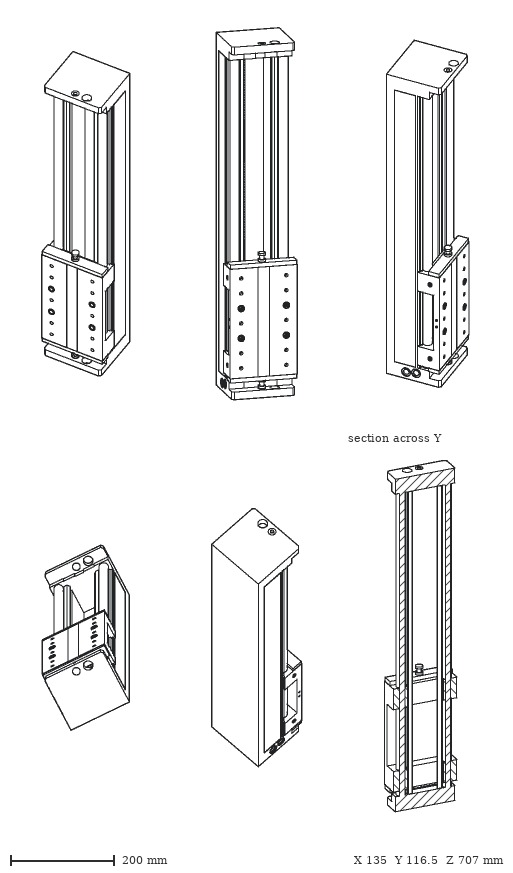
import cadquery as cq


total_height = 707.0
stop_projection = 1.5
upper_stop_projection = 2.0
base_bottom = stop_projection
body_width = 126.5
half_body = body_width / 2
cap_height = 32.5
cap_reach = 92.0
flange_thickness = 15.5
flange_reach = 115.0
flange_chamfer = 4.0
back_thickness = 17.0
lower_rail_bottom = base_bottom + cap_height
upper_rail_top = total_height - cap_height

relief_depth = 1.0
cap_relief_width = 66.5
stop_relief_width = 19.0
stop_relief_depth = 2.0

channel_half = 27.0
rail_chamfer = 4.0
rail_land_outer = 37.5
rail_land_reach = 81.0
rod_seat_reach = 73.5
shoulder_reach = 71.0
shoulder_half = 59.5
seat_outer_half = 56.0
groove_reach = 68.0
groove_width = 7.0
groove_depth = 8.0
panel_reach = 62.0
panel_depth = 1.0
step_reach = 66.5

rod_diameter = 18.5
rod_x = 49.0
rod_reach = 81.0

ports = [(42.0, 15.0), (63.0, 18.5)]
port_diameter = 11.0
port_seat_diameter = 18.5
port_seat_depth = 2.0
port_depth = 28.0

stop_diameter = 15.0
stop_socket_diameter = 6.65
stop_socket_depth = 7.0
stop_reach = 102.0
side_hole_diameter = 18.5
side_hole_x = 25.5
bumper_neck_diameter = 8.5
bumper_disc_height = 4.0
bumper_neck_height = 8.5

carriage_width = 135.0
half_carriage = carriage_width / 2
carriage_length = 219.0
carriage_front = flange_reach
skirt_reach = 68.5
leg_length = 44.5
web_back = 102.5
end_plate_thickness = 8.5
end_plate_back = cap_reach
end_plate_inset = 1.0
bumper_length = 2 * bumper_disc_height + bumper_neck_height
lower_stop_top = base_bottom + flange_thickness + stop_projection
carriage_bottom = lower_stop_top + bumper_length + end_plate_thickness
carriage_middle = carriage_bottom + carriage_length / 2
carriage_end = carriage_length / 2 + end_plate_thickness
running_gap = 1.0
strip_width = 23.0
strip_depth = 0.35

outer_row = 3
hole_row_length = 179.5
hole_pitch = hole_row_length / (2 * outer_row)
hole_x = 45.0
thread_diameter = 6.5
thread_depth = 8.5
sleeve_rows = (-1, 1)
sleeve_diameter = 13.0
sleeve_bore = 8.0
sleeve_length = 6.5
sleeve_projection = 1.5
leg_hole_diameter = 8.5
leg_hole_bore = 4.0
leg_hole_seat_depth = 2.0
leg_hole_depth = 7.0
leg_hole_reach = 95.0
web_hole_diameter = 4.0
web_hole_depth = 5.0
web_hole_reach = 109.0
web_hole_offset = 8.0


def block(x_size, back, front, bottom, top):
    """Box centred on x = 0 between two reaches and two heights."""
    return cq.Workplane("XY").box(x_size, front - back, top - bottom).translate(
        (0, -(back + front) / 2, (bottom + top) / 2)
    )


def upright(diameter, x, reach, bottom, top):
    """Cylinder along Z."""
    return (
        cq.Workplane("XY", origin=(x, -reach, bottom)).circle(diameter / 2).extrude(top - bottom)
    )


def frontal(diameter, x, z, back, front):
    """Cylinder along Y between two reaches."""
    return (
        cq.Workplane("XZ", origin=(x, -back, z)).circle(diameter / 2).extrude(front - back)
    )


def sideways(diameter, x_start, length, reach, z):
    """Cylinder along +X from x_start."""
    return (
        cq.Workplane("YZ", origin=(x_start, -reach, z)).circle(diameter / 2).extrude(length)
    )


def cap(bottom, top, flange_bottom, flange_top):
    """End cap with a flange over its front, holes for the stop and the plain hole beside it."""
    flange = block(body_width, back_thickness, flange_reach, flange_bottom, flange_top)
    flange = flange.faces("<Y").edges("|Z").chamfer(flange_chamfer)
    body = block(body_width, 0, cap_reach, bottom, top)
    open_bottom, open_top = (bottom, flange_bottom) if flange_top == top else (flange_top, top)
    body = body.cut(
        block(cap_relief_width, cap_reach - relief_depth, cap_reach, open_bottom, open_top)
    ).union(flange)
    body = body.cut(upright(stop_diameter, 0, stop_reach, flange_bottom, flange_top))
    return body.cut(
        upright(side_hole_diameter, side_hole_x, stop_reach, flange_bottom, flange_top)
    )


def rail_section(side):
    """Side rail outline for side = -1 (left) or 1 (right), from the channel outward."""
    inset_half = half_body - panel_depth
    points = [
        (channel_half, back_thickness),
        (channel_half, groove_reach),
        (channel_half + groove_depth, groove_reach),
        (channel_half + groove_depth, groove_reach + groove_width),
        (channel_half, groove_reach + groove_width),
        (channel_half, rail_land_reach - rail_chamfer),
        (channel_half + rail_chamfer, rail_land_reach),
        (rail_land_outer, rail_land_reach),
        (rail_land_outer, rod_seat_reach),
        (seat_outer_half, rod_seat_reach),
        (shoulder_half, shoulder_reach),
        (inset_half, shoulder_reach),
        (inset_half, step_reach),
        (half_body, step_reach),
        (half_body, panel_reach),
        (inset_half, panel_reach),
        (inset_half, back_thickness),
    ]
    return [(side * x, -reach) for x, reach in points]


def make_stator():
    base_flange_top = base_bottom + flange_thickness
    top_flange_bottom = total_height - flange_thickness
    stator = block(body_width, 0, back_thickness, base_bottom, total_height)
    stator = stator.union(cap(base_bottom, lower_rail_bottom, base_bottom, base_flange_top))
    upper_cap = cap(upper_rail_top, total_height, top_flange_bottom, total_height)
    relief_back = cap_reach - stop_relief_depth
    stop_relief = block(
        stop_relief_width, relief_back, cap_reach, upper_rail_top, top_flange_bottom
    )
    stator = stator.union(upper_cap.cut(stop_relief))
    for side in (-1, 1):
        rail = (
            cq.Workplane("XY", origin=(0, 0, lower_rail_bottom))
            .polyline(rail_section(side))
            .close()
            .extrude(upper_rail_top - lower_rail_bottom)
        )
        rod = upright(rod_diameter, side * rod_x, rod_reach, lower_rail_bottom, upper_rail_top)
        stator = stator.union(rail).union(rod)
    for reach, height in ports:
        z = base_bottom + height
        stator = stator.cut(sideways(port_diameter, -half_body, port_depth, reach, z))
        stator = stator.cut(sideways(port_seat_diameter, -half_body, port_seat_depth, reach, z))
    return stator


def make_carriage():
    bottom = carriage_middle - carriage_length / 2
    top = carriage_middle + carriage_length / 2
    carriage = block(carriage_width, skirt_reach, carriage_front, bottom, top)
    carriage = carriage.cut(
        block(carriage_width, skirt_reach, web_back, bottom + leg_length, top - leg_length)
    )
    plates = block(
        carriage_width - 2 * end_plate_inset,
        end_plate_back,
        carriage_front - end_plate_inset,
        carriage_middle - carriage_end,
        carriage_middle + carriage_end,
    )
    carriage = carriage.union(plates.cut(block(carriage_width, 0, carriage_front, bottom, top)))
    for half_width, reach in (
        (half_body, shoulder_reach),
        (shoulder_half, rod_seat_reach),
        (rail_land_outer, rail_land_reach),
    ):
        carriage = carriage.cut(
            block(2 * (half_width + running_gap), 0, reach + running_gap, bottom, top)
        )
    for side in (-1, 1):
        carriage = carriage.cut(upright(rod_diameter, side * rod_x, rod_reach, bottom, top))
    carriage = carriage.cut(
        block(strip_width, carriage_front - strip_depth, carriage_front, bottom, top)
    )
    return cut_side_holes(cut_front_holes(carriage))


def cut_front_holes(carriage):
    """Two columns of tapped holes; those next to the middle row take sleeves."""
    for side in (-1, 1):
        for row in range(-outer_row, outer_row + 1):
            x = side * hole_x
            z = carriage_middle + row * hole_pitch
            hole = frontal(thread_diameter, x, z, carriage_front - thread_depth, carriage_front)
            carriage = carriage.cut(hole)
            if row in sleeve_rows:
                seat_back = carriage_front + sleeve_projection - sleeve_length
                carriage = carriage.cut(frontal(sleeve_diameter, x, z, seat_back, carriage_front))
    return carriage


def cut_side_holes(carriage):
    """Stepped hole in each leg and a pair of small holes in the web, on the left side."""
    leg_offset = (carriage_length - leg_length) / 2
    for direction in (-1, 1):
        leg_z = carriage_middle + direction * leg_offset
        web_z = carriage_middle + direction * web_hole_offset
        for diameter, depth, reach, z in (
            (leg_hole_diameter, leg_hole_seat_depth, leg_hole_reach, leg_z),
            (leg_hole_bore, leg_hole_depth, leg_hole_reach, leg_z),
            (web_hole_diameter, web_hole_depth, web_hole_reach, web_z),
        ):
            carriage = carriage.cut(sideways(diameter, -half_carriage, depth, reach, z))
    return carriage


def make_sleeve(side, row):
    """Centring sleeve standing slightly proud of the carriage face."""
    x = side * hole_x
    z = carriage_middle + row * hole_pitch
    front = carriage_front + sleeve_projection
    back = front - sleeve_length
    return frontal(sleeve_diameter, x, z, back, front).cut(frontal(sleeve_bore, x, z, back, front))


def make_stop(bottom, top):
    """Stop screw through a flange, with a socket in its upper end."""
    stop = upright(stop_diameter, 0, stop_reach, bottom, top)
    return stop.cut(upright(stop_socket_diameter, 0, stop_reach, top - stop_socket_depth, top))


def make_bumper(direction):
    """Spool-shaped bumper on the upper (1) or lower (-1) end plate."""
    start = carriage_middle + direction * carriage_end
    bumper = None
    for diameter, height in (
        (stop_diameter, bumper_disc_height),
        (bumper_neck_diameter, bumper_neck_height),
        (stop_diameter, bumper_disc_height),
    ):
        end = start + direction * height
        piece = upright(diameter, 0, stop_reach, min(start, end), max(start, end))
        bumper = piece if bumper is None else bumper.union(piece)
        start = end
    return bumper


stator = make_stator()
carriage = make_carriage()
sleeves = [make_sleeve(side, row) for side in (-1, 1) for row in sleeve_rows]
stops = [
    make_stop(0, lower_stop_top),
    make_stop(total_height - flange_thickness - upper_stop_projection, total_height),
]
bumpers = [make_bumper(direction) for direction in (-1, 1)]

result = cq.Compound.makeCompound(
    [stator.val(), carriage.val()] + [body.val() for body in sleeves + stops + bumpers]
)